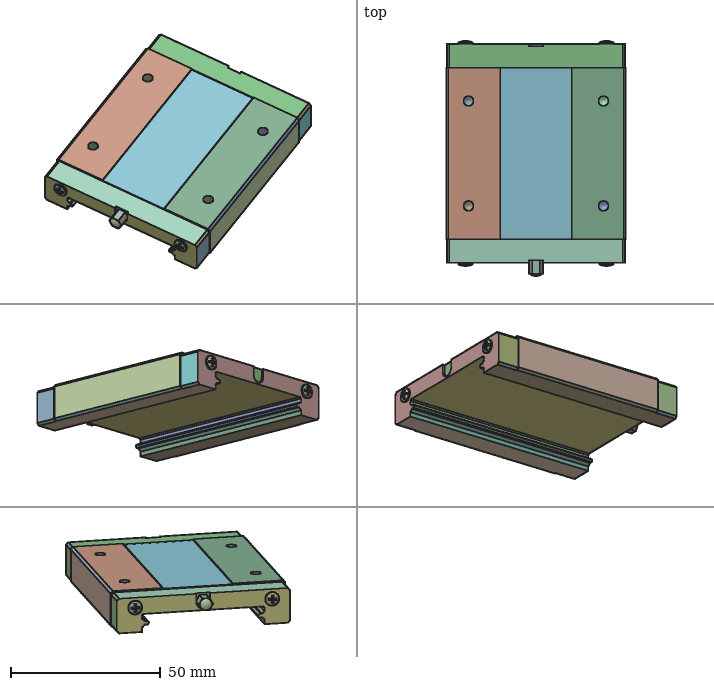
import cadquery as cq
import math

BODY_WIDTH = 60.0
BODY_LENGTH = 57.2
BODY_HEIGHT = 12.6
EDGE_CHAMFER = 0.8
CENTRE_WIDTH = 24.0
CENTRE_HEIGHT = 12.35

CAP_WIDTH = 59.4
CAP_HEIGHT = 12.05
OVERALL_CAP_LENGTH = 73.0

CHANNEL_WIDTH = 42.0
CHANNEL_ROOF = 6.2
CHANNEL_CORNER = 0.5
LIP_ROOT_TOP = 4.5
LIP_ROOT_BOTTOM = 1.6
LIP_NECK = 1.0
LIP_NECK_TOP = 3.7
LIP_CREST = 1.5
LIP_CREST_TOP = 3.9
LIP_TIP = 2.35
LIP_TIP_HEIGHT = 3.2
LIP_NOSE = 2.0
LIP_UNDERSIDE = 2.5

HOLE_DIAMETER = 3.3
HOLE_DEPTH = 6.0
HOLE_TIP_ANGLE = 118.0
HOLE_SPACING_X = 45.0
HOLE_SPACING_Y = 35.0

SCREW_SPACING = 47.0
SCREW_HEIGHT = 8.7
HEAD_RADIUS = 2.35
HEAD_RIM = 0.5
HEAD_THICKNESS = 1.08
CROSS_LENGTH = 2.8
CROSS_WIDTH = 0.6
CROSS_DEPTH = 0.7

NIPPLE_HEIGHT = 9.25
NIPPLE_FLATS = 4.16
NIPPLE_REACH = 4.42
NIPPLE_CAP_RISE = 0.8
RECESS_DEPTH = 0.8

HALF_CAP_LENGTH = OVERALL_CAP_LENGTH / 2
NIPPLE_CORNERS = NIPPLE_FLATS / math.cos(math.pi / 6)


def chamfered_bar(width, height, length):
    """Bar along Y, standing on Z = 0, with its four long edges chamfered."""
    bar = cq.Workplane("XY").box(width, length, height, centered=(True, True, False))
    return bar.edges("|Y").chamfer(EDGE_CHAMFER)


def block():
    """Body with a slightly lowered centre strip, between two end caps."""
    body = chamfered_bar(BODY_WIDTH, BODY_HEIGHT, BODY_LENGTH)
    strip = (
        cq.Workplane("XY")
        .workplane(offset=CENTRE_HEIGHT)
        .rect(CENTRE_WIDTH, BODY_LENGTH)
        .extrude(BODY_HEIGHT - CENTRE_HEIGHT)
    )
    caps = chamfered_bar(CAP_WIDTH, CAP_HEIGHT, OVERALL_CAP_LENGTH)
    return body.cut(strip).union(caps)


def rail_channel():
    """Channel cutter, leaving a pointed lip along each side wall."""
    wall = CHANNEL_WIDTH / 2
    right_side = [
        (wall, 0),
        (wall, LIP_ROOT_BOTTOM),
        (wall - LIP_NECK, LIP_UNDERSIDE),
        (wall - LIP_NOSE, LIP_UNDERSIDE),
        (wall - LIP_TIP, LIP_TIP_HEIGHT),
        (wall - LIP_CREST, LIP_CREST_TOP),
        (wall - LIP_NECK, LIP_NECK_TOP),
        (wall, LIP_ROOT_TOP),
        (wall, CHANNEL_ROOF - CHANNEL_CORNER),
        (wall - CHANNEL_CORNER, CHANNEL_ROOF),
    ]
    left_side = [(-x, z) for x, z in reversed(right_side)]
    return (
        cq.Workplane("XZ")
        .polyline(right_side + left_side)
        .close()
        .extrude(HALF_CAP_LENGTH, both=True)
    )


def mounting_holes():
    """Cutters for four drilled holes with conical bottoms."""
    radius = HOLE_DIAMETER / 2
    tip = radius / math.tan(math.radians(HOLE_TIP_ANGLE / 2))
    drill = (
        cq.Workplane("XZ")
        .polyline([(0, 0), (radius, 0), (radius, -HOLE_DEPTH), (0, -HOLE_DEPTH - tip)])
        .close()
        .revolve(360, (0, 0), (0, 1))
    )
    cutters = cq.Workplane("XY")
    for side in (-1, 1):
        for end in (-1, 1):
            place = (side * HOLE_SPACING_X / 2, end * HOLE_SPACING_Y / 2, BODY_HEIGHT)
            cutters = cutters.add(drill.translate(place))
    return cutters.combine()


def nipple_recess():
    """Round-bottomed recess cutter for the -Y end, open at the top."""
    radius = NIPPLE_CORNERS / 2
    return (
        cq.Workplane("XZ", origin=(0, RECESS_DEPTH - HALF_CAP_LENGTH, 0))
        .moveTo(-radius, BODY_HEIGHT)
        .lineTo(-radius, NIPPLE_HEIGHT)
        .threePointArc((0, NIPPLE_HEIGHT - radius), (radius, NIPPLE_HEIGHT))
        .lineTo(radius, BODY_HEIGHT)
        .close()
        .extrude(RECESS_DEPTH)
    )


def domed_pin(radius, straight, rise):
    """Round pin pointing to -Y from the origin, with a spherical cap that adds `rise` to its length."""
    sphere_radius = (radius**2 + rise**2) / (2 * rise)
    half_angle = math.asin(radius / sphere_radius) / 2
    mid_cap = (
        sphere_radius * math.sin(half_angle),
        sphere_radius * (1 - math.cos(half_angle)) - straight - rise,
    )
    return (
        cq.Workplane("XY")
        .lineTo(radius, 0)
        .lineTo(radius, -straight)
        .threePointArc(mid_cap, (0, -straight - rise))
        .close()
        .revolve(360, (0, 0), (0, 1))
    )


def grease_nipple():
    """Hexagonal stem pointing to -Y, with a spherical cap on the circle inside the hexagon."""
    stem_length = RECESS_DEPTH + NIPPLE_REACH - NIPPLE_CAP_RISE
    stem = cq.Workplane("XZ").polygon(6, NIPPLE_CORNERS).extrude(stem_length)
    capped_stem = stem.union(domed_pin(NIPPLE_FLATS / 2, stem_length, NIPPLE_CAP_RISE))
    return capped_stem.translate((0, RECESS_DEPTH - HALF_CAP_LENGTH, NIPPLE_HEIGHT))


def screw_heads():
    """Two domed heads on the -Y end, each with a cross recess."""
    head = domed_pin(HEAD_RADIUS, HEAD_RIM, HEAD_THICKNESS - HEAD_RIM)
    cross_plane = cq.Workplane("XZ", origin=(0, -HEAD_THICKNESS, 0))
    for size in ((CROSS_LENGTH, CROSS_WIDTH), (CROSS_WIDTH, CROSS_LENGTH)):
        head = head.cut(cross_plane.rect(*size).extrude(-CROSS_DEPTH))
    heads = cq.Workplane("XY")
    for side in (-1, 1):
        heads = heads.add(head.translate((side * SCREW_SPACING / 2, -HALF_CAP_LENGTH, SCREW_HEIGHT)))
    return heads.combine()


def on_both_ends(feature):
    """The feature together with its mirror image at the +Y end."""
    return feature.union(feature.mirror("XZ"))


result = (
    block()
    .cut(rail_channel())
    .cut(mounting_holes())
    .cut(on_both_ends(nipple_recess()))
    .union(on_both_ends(screw_heads()))
    .union(grease_nipple())
)